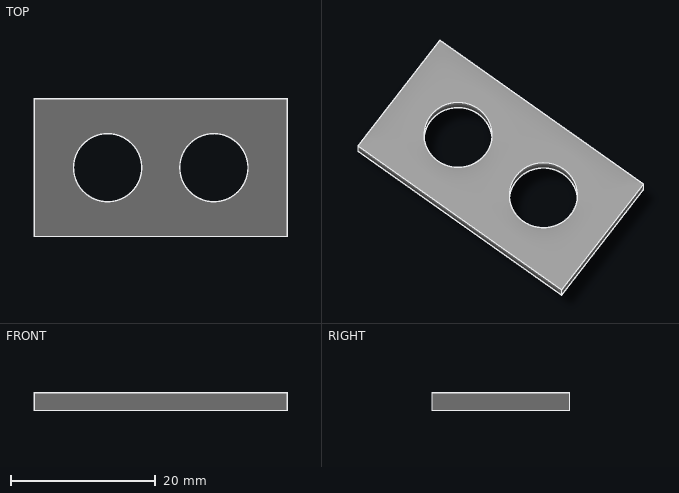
import cadquery as cq

length = 35.05
width = 19.05
thickness = 2.5

hole_diameter = 9.4
hole_spacing = 14.7

plate = cq.Workplane("XY").box(length, width, thickness)

result = (
    plate.faces(">Z")
    .workplane()
    .pushPoints([(-hole_spacing / 2, 0), (hole_spacing / 2, 0)])
    .hole(hole_diameter)
)